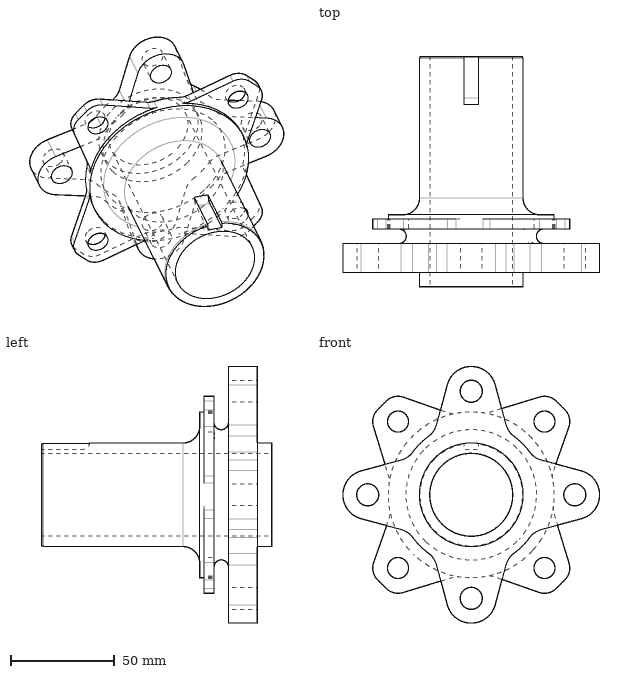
import cadquery as cq
import math


arm_count = 4
edge_tolerance = 0.01

bore_radius = 20.0
tube_radius = 25.0
pilot_length = 7.0
total_length = 111.0
root_fillet = 8.0
end_chamfer_length = 1.0
end_chamfer_depth = 0.31

front_thickness = 14.0
front_core_radius = 35.0
front_root_fillet = 10.0
bolt_circle_radius = 49.9
front_tip_distance = 62
front_tip_radius = front_tip_distance - bolt_circle_radius
front_taper = 15
front_hole_diameter = 10.5

plate_gap = 7.0
rear_thickness = 5.0
shoulder_thickness = 2.0
rear_core_radius = 40.0
rear_root_fillet = 8.0
rear_corner_radius = 8.0
rear_tip_distance = 61.0
rear_tip_half_flat = 3.0
rear_upper_taper = 28.0
rear_lower_taper = 25.6
rear_hole_diameter = 10.0
rear_turn = 180 / arm_count

key_width = 7.0
key_depth = 3.1
key_flat_length = 20.0
key_runout_radius = key_depth

front_end = -pilot_length
neck_start = front_thickness
rear_plate_start = neck_start + plate_gap
shoulder_start = rear_plate_start + rear_thickness
shoulder_end = shoulder_start + shoulder_thickness
tube_end = front_end + total_length


def make_sleeve():
    """Revolve the bored sleeve with its plate cores, concave neck, shoulder and tube."""
    neck_radius = plate_gap / 2
    neck_middle = neck_start + plate_gap / 2
    fillet_sag = root_fillet * (1 - math.sqrt(0.5))
    profile = (
        cq.Workplane("XY")
        .moveTo(bore_radius, front_end)
        .lineTo(tube_radius, front_end)
        .lineTo(tube_radius, 0)
        .lineTo(front_core_radius, 0)
        .lineTo(front_core_radius, neck_start)
        .threePointArc(
            (front_core_radius - neck_radius, neck_middle),
            (front_core_radius, rear_plate_start),
        )
        .lineTo(rear_core_radius, rear_plate_start)
        .lineTo(rear_core_radius, shoulder_end)
        .lineTo(tube_radius + root_fillet, shoulder_end)
        .threePointArc(
            (tube_radius + fillet_sag, shoulder_end + fillet_sag),
            (tube_radius, shoulder_end + root_fillet),
        )
        .lineTo(tube_radius, tube_end - end_chamfer_length)
        .lineTo(tube_radius - end_chamfer_depth, tube_end)
        .lineTo(bore_radius, tube_end)
        .close()
    )
    return profile.revolve(360, (0, 0, 0), (0, 1, 0))


def make_arm(thickness, core_radius, tip_distance, half_flat, corner_radius, upper_taper, lower_taper):
    """Arm along +X, starting inside the core and narrowing to a tip with rounded corners."""
    root_x = core_radius / 2
    corner_x = tip_distance - corner_radius

    def corner_point(side, angle):
        """Point of a corner arc, with the angle measured from the arm axis."""
        turn = math.radians(angle)
        return (
            corner_x + corner_radius * math.cos(turn),
            side * (half_flat + corner_radius * math.sin(turn)),
        )

    def root_point(side, taper):
        """Point where the flank, extended inward, reaches root_x."""
        flank_x, flank_z = corner_point(side, 90 - taper)
        return (root_x, flank_z + side * (flank_x - root_x) * math.tan(math.radians(taper)))

    lower_end = 90 - lower_taper
    upper_end = 90 - upper_taper
    outline = (
        cq.Workplane("XZ")
        .moveTo(*root_point(-1, lower_taper))
        .lineTo(*corner_point(-1, lower_end))
        .threePointArc(corner_point(-1, lower_end / 2), corner_point(-1, 0))
    )
    if half_flat > 0:
        outline = outline.lineTo(*corner_point(1, 0))
    outline = (
        outline
        .threePointArc(corner_point(1, upper_end / 2), corner_point(1, upper_end))
        .lineTo(*root_point(1, upper_taper))
        .lineTo(0, 0)
        .close()
    )
    return outline.extrude(-thickness)


def make_plate(arm, thickness, core_radius, root_radius, hole_diameter):
    """Round core with arms, filleted where the flanks meet the core, and a hole in each arm."""
    plate = cq.Workplane("XZ").circle(core_radius).extrude(-thickness)
    for index in range(arm_count):
        plate = plate.union(arm.rotate((0, 0, 0), (0, 1, 0), index * 360 / arm_count))

    def on_core(edge):
        middle = edge.Center()
        return abs(math.hypot(middle.x, middle.z) - core_radius) < edge_tolerance

    plate = plate.edges("|Y").filter(on_core).fillet(root_radius)
    holes = (
        cq.Workplane("XZ")
        .polarArray(bolt_circle_radius, 0, 360, arm_count)
        .circle(hole_diameter / 2)
        .extrude(-thickness)
    )
    bore = cq.Workplane("XZ").circle(bore_radius).extrude(-thickness)
    return plate.cut(holes).cut(bore)


def make_front_plate():
    arm = make_arm(
        front_thickness, front_core_radius, front_tip_distance, 0,
        front_tip_radius, front_taper, front_taper,
    )
    return make_plate(
        arm, front_thickness, front_core_radius, front_root_fillet, front_hole_diameter
    )


def make_rear_plate():
    arm = make_arm(
        rear_thickness, rear_core_radius, rear_tip_distance, rear_tip_half_flat,
        rear_corner_radius, rear_upper_taper, rear_lower_taper,
    )
    plate = make_plate(
        arm, rear_thickness, rear_core_radius, rear_root_fillet, rear_hole_diameter
    )
    return plate.rotate((0, 0, 0), (0, 1, 0), -rear_turn).translate((0, rear_plate_start, 0))


def make_keyway():
    """Flat-bottomed key slot whose blind end curves up to the tube surface."""
    floor_z = tube_radius - key_depth
    flat_end = tube_end - key_flat_length
    runout_sag = key_runout_radius * (1 - math.sqrt(0.5))
    return (
        cq.Workplane("YZ")
        .moveTo(tube_end, floor_z)
        .lineTo(flat_end, floor_z)
        .threePointArc(
            (flat_end - key_runout_radius + runout_sag, floor_z + runout_sag),
            (flat_end - key_runout_radius, tube_radius),
        )
        .lineTo(tube_end, tube_radius)
        .close()
        .extrude(key_width / 2, both=True)
    )


result = make_sleeve().union(make_front_plate()).union(make_rear_plate()).cut(make_keyway())